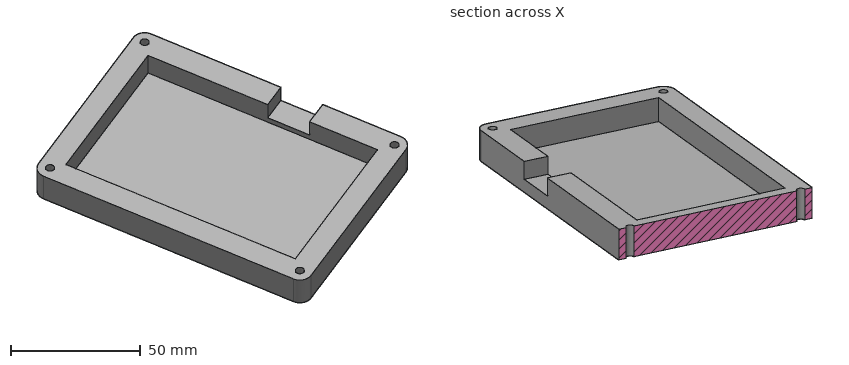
import cadquery as cq

length = 120.0
width = 84.9
height = 13.0
corner_radius = 5.0

pocket_length = 101.0
pocket_width = 65.0
front_wall = 9.5
floor_thickness = 3.0
pocket_center_y = -width / 2 + front_wall + pocket_width / 2

notch_width = 18.4
notch_center_x = 11.4
notch_depth = 7.5

hole_diameter = 3.4
hole_spacing_x = length - 2 * corner_radius
hole_spacing_y = width - 2 * corner_radius


def make_block():
    block = cq.Workplane("XY").box(length, width, height, centered=(True, True, False))
    return block.edges("|Z").fillet(corner_radius)


def cut_pocket(body):
    pocket = (
        cq.Workplane("XY", origin=(0, pocket_center_y, floor_thickness))
        .rect(pocket_length, pocket_width)
        .extrude(height - floor_thickness)
    )
    return body.cut(pocket)


def cut_notch(body):
    notch = cq.Workplane("XY", origin=(notch_center_x, pocket_center_y, height - notch_depth)).box(
        notch_width, width / 2 - pocket_center_y, notch_depth, centered=(True, False, False)
    )
    return body.cut(notch)


def cut_screw_holes(body):
    holes = (
        cq.Workplane("XY")
        .rect(hole_spacing_x, hole_spacing_y, forConstruction=True)
        .vertices()
        .circle(hole_diameter / 2)
        .extrude(height)
    )
    return body.cut(holes)


result = make_block()
result = cut_pocket(result)
result = cut_notch(result)
result = cut_screw_holes(result)